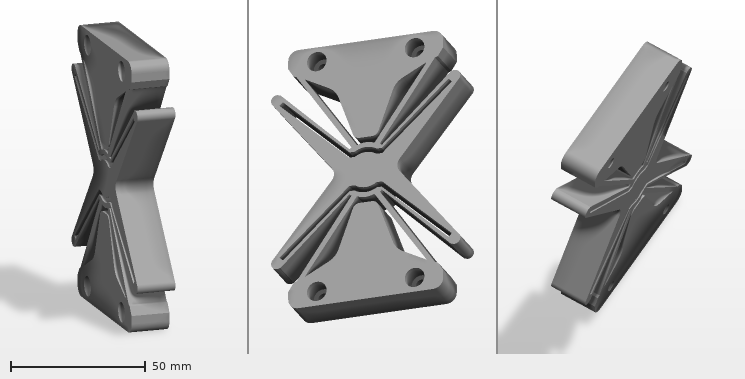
import cadquery as cq
import math

height = 104.8
width = 75.1
depth = 15.0
half_height = height / 2

plate_half_width = 30.7
plate_corner_radius = 4.0
plate_side_bottom = 45.2
plate_shoulder = (28.6, 41.9)
plate_tongue_tip = 13.2
plate_tongue_corner_radius = 2.7
plate_neck_corner = (11.8, 33.8)
plate_neck_radius = 7.9
tongue_corner = (4.4, plate_tongue_tip)

bolt_x = 19.4
bolt_z = 46.6
bolt_diameter = 4.2
counterbore_diameter = 7.8
counterbore_depth = depth / 2

leg_outer_top = (27.5, 41.5)
leg_outer_bottom = (5.7, 9.9)
leg_inner_top = (24.2, 40.1)
leg_inner_bottom = (3.5, 10.4)

bridge_top = 11.1
bridge_bottom = 9.1
bridge_valley = (4.4, 7.9)

strip_outer_bottom = (6.4, 9.1)
strip_outer_top = (33.9, 35.1)
strip_inner_bottom = (6.4, 7.9)
slot_end_upper = (32.8, 32.1)
slot_end_lower = (34.2, 30.8)

waist_half_width = 12.6
waist_radius = 4.0
waist_centre = (waist_half_width + waist_radius, 0)
tip_radius = 2.3
tip_arc_end_angle = 115
tip_top = 35.3
tip_centre = (width / 2 - tip_radius, tip_top - tip_radius)
body_crest = 7.1
body_valley = (4.3, 5.8)
body_slot_corner = (6.5, 5.8)

tip_run = tip_centre[0] - waist_centre[0]
tip_rise = tip_centre[1] - waist_centre[1]
radii_angle = math.asin((waist_radius + tip_radius) / math.hypot(tip_run, tip_rise))
arm_edge_angle = math.degrees(math.atan2(tip_rise, tip_run) - radii_angle)


def polar(centre, radius, angle):
    """Point on a circle at an angle in degrees from +X."""
    turn = math.radians(angle)
    return (centre[0] + radius * math.cos(turn), centre[1] + radius * math.sin(turn))


def crown_middle(crest, end):
    """Point halfway along the arc that crests on the Z axis and finishes at the end point."""
    drop = crest - end[1]
    radius = (end[0] ** 2 + drop ** 2) / (2 * drop)
    half_angle = math.degrees(math.asin(end[0] / radius)) / 2
    return polar((0, crest - radius), radius, 90 - half_angle)


def extrude(outline):
    """Close an outline and extrude it through the full depth."""
    return outline.close().extrude(depth / 2, both=True)


def round_corner(solid, corner, radius):
    """Round the edge along Y that passes through the given (x, z) corner."""
    edge = cq.selectors.NearestToPointSelector((corner[0], 0, corner[1]))
    return solid.edges("|Y").edges(edge).fillet(radius)


def quarter_outline():
    """Solid quarter bounded by the centre planes and the outer edge."""
    tip_start = polar(tip_centre, tip_radius, arm_edge_angle - 90)
    tip_end = polar(tip_centre, tip_radius, tip_arc_end_angle)
    tip_middle = polar(tip_centre, tip_radius, (arm_edge_angle - 90 + tip_arc_end_angle) / 2)
    waist_end = polar(waist_centre, waist_radius, arm_edge_angle + 90)
    waist_middle = polar(waist_centre, waist_radius, (arm_edge_angle + 270) / 2)
    outline = (
        cq.Workplane("XZ")
        .moveTo(0, 0)
        .lineTo(waist_half_width, 0)
        .threePointArc(waist_middle, waist_end)
        .lineTo(*tip_start)
        .threePointArc(tip_middle, tip_end)
        .lineTo(*strip_outer_top)
        .lineTo(*strip_outer_bottom)
        .lineTo(*leg_outer_bottom)
        .lineTo(*leg_outer_top)
        .lineTo(*plate_shoulder)
        .lineTo(plate_half_width, plate_side_bottom)
        .lineTo(plate_half_width, half_height)
        .lineTo(0, half_height)
    )
    return round_corner(extrude(outline), (plate_half_width, half_height), plate_corner_radius)


def plate_window():
    """Opening between the plate tongue, the wide leg and the bridge."""
    window = extrude(
        cq.Workplane("XZ")
        .moveTo(0, bridge_top)
        .threePointArc(crown_middle(bridge_top, leg_inner_bottom), leg_inner_bottom)
        .lineTo(*leg_inner_top)
        .lineTo(*plate_neck_corner)
        .lineTo(*tongue_corner)
        .lineTo(0, plate_tongue_tip)
    )
    window = round_corner(window, plate_neck_corner, plate_neck_radius)
    return round_corner(window, tongue_corner, plate_tongue_corner_radius)


def body_slot():
    """Slot that frees the strip and the bridge from the rigid body."""
    return extrude(
        cq.Workplane("XZ")
        .moveTo(0, body_crest)
        .threePointArc(crown_middle(body_crest, body_valley), body_valley)
        .lineTo(*body_slot_corner)
        .lineTo(*slot_end_lower)
        .lineTo(*slot_end_upper)
        .lineTo(*strip_inner_bottom)
        .lineTo(*bridge_valley)
        .threePointArc(crown_middle(bridge_bottom, bridge_valley), (0, bridge_bottom))
    )


def bolt_holes():
    """Stepped holes for all four plate corners."""
    front = cq.Workplane("XZ", origin=(0, -depth / 2, 0))
    places = [(x, z) for x in (-bolt_x, bolt_x) for z in (-bolt_z, bolt_z)]
    holes = front.pushPoints(places).circle(bolt_diameter / 2).extrude(-depth)
    counterbores = front.pushPoints(places).circle(counterbore_diameter / 2).extrude(-counterbore_depth)
    return holes.union(counterbores)


quarter = quarter_outline().cut(plate_window()).cut(body_slot())
upper_half = quarter.union(quarter.mirror("YZ"))
whole = upper_half.union(upper_half.mirror("XY")).clean()
result = whole.cut(bolt_holes())